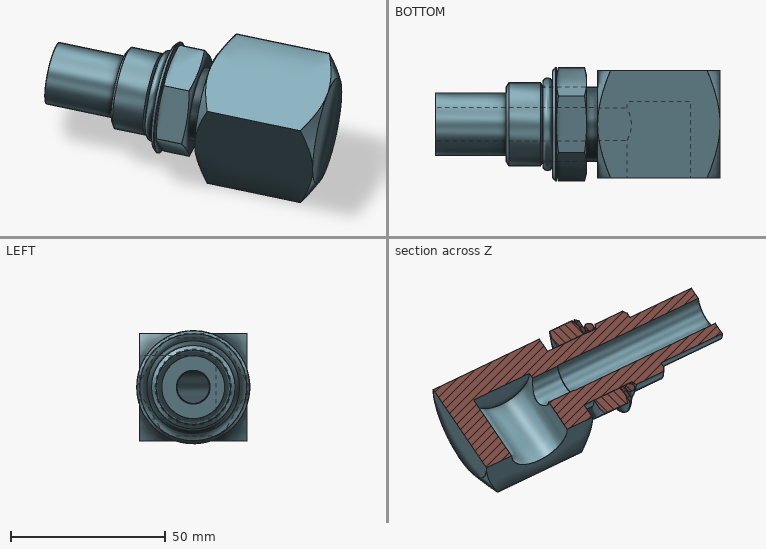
import cadquery as cq
import math

block_start = 52.5
block_end = 92.1
block_width = 34.9
block_cone_angle = 30.0

tube_bore_diameter = 11.0
block_bore_diameter = 10.5
port_diameter = 20.6
port_floor_y = -7.4
port_center_x = (block_start + block_end) / 2

tube_diameter = 20.35
neck_diameter = 24.0
collar_start = 22.8
collar_end = 34.6
collar_diameter = 27.0
lead_in_diameter = neck_diameter
lead_in_length = 0.9
collar_back_diameter = 24.7
collar_back_length = 0.6

washer_start = 37.8
washer_end = 39.1
washer_diameter = 36.65
washer_chamfer_length = 1.0
washer_chamfer_depth = 1.0
nut_end = 48.9
nut_corner_diameter = washer_diameter
nut_flats = nut_corner_diameter * math.cos(math.pi / 6)
nut_cone_angle = 15.0

ring_outer_diameter = 30.0
ring_thickness = 3.1
ring_center_radius = (ring_outer_diameter - ring_thickness) / 2
ring_center_x = washer_start - ring_thickness / 2
groove_diameter = ring_outer_diameter - 2 * ring_thickness


def turned_about_x(outline):
    """Solid of revolution about X from a closed outline of (x, radius) points."""
    return cq.Workplane("XY").polyline(outline).close().revolve(360, (0, 0, 0), (1, 0, 0))


def cylinder_along_x(diameter, start, end):
    return cq.Workplane("YZ", origin=(start, 0, 0)).circle(diameter / 2).extrude(end - start)


def cone_prism_corners(prism, start, end, flats, corner_diameter, cone_angle):
    """Turn both ends of a prism to cones that start at a circle as wide as its flats."""
    cone_length = (corner_diameter - flats) / 2 * math.tan(math.radians(cone_angle))
    envelope = turned_about_x([
        (start, 0),
        (start, flats / 2),
        (start + cone_length, corner_diameter / 2),
        (end - cone_length, corner_diameter / 2),
        (end, flats / 2),
        (end, 0),
    ])
    return prism.intersect(envelope)


def make_stud():
    """Tube, collar, groove and neck, up to the face of the block."""
    return turned_about_x([
        (0, 0),
        (0, tube_diameter / 2),
        (collar_start, tube_diameter / 2),
        (collar_start, lead_in_diameter / 2),
        (collar_start + lead_in_length, collar_diameter / 2),
        (collar_end - collar_back_length, collar_diameter / 2),
        (collar_end, collar_back_diameter / 2),
        (collar_end, groove_diameter / 2),
        (washer_start, groove_diameter / 2),
        (washer_start, neck_diameter / 2),
        (block_start, neck_diameter / 2),
        (block_start, 0),
    ])


def make_block():
    bar = (
        cq.Workplane("YZ", origin=(block_start, 0, 0))
        .rect(block_width, block_width)
        .extrude(block_end - block_start)
    )
    corner_diameter = block_width * math.sqrt(2)
    return cone_prism_corners(bar, block_start, block_end, block_width, corner_diameter, block_cone_angle)


def make_port():
    """Flat-bottomed blind hole from the +Y side, crossing the axis of the stud."""
    depth = block_width / 2 - port_floor_y
    return (
        cq.Workplane("XZ", origin=(port_center_x, port_floor_y, 0))
        .circle(port_diameter / 2)
        .extrude(-depth)
    )


def make_elbow():
    tube_bore = cylinder_along_x(tube_bore_diameter, 0, block_start)
    block_bore = cylinder_along_x(block_bore_diameter, block_start, port_center_x)
    return make_stud().union(make_block()).cut(tube_bore).cut(block_bore).cut(make_port())


def make_sealing_ring():
    return (
        cq.Workplane("XY")
        .center(ring_center_x, ring_center_radius)
        .circle(ring_thickness / 2)
        .revolve(360, (0, -ring_center_radius, 0), (1, -ring_center_radius, 0))
    )


def make_washer():
    """Round washer with a chamfered rim on the side of the sealing ring."""
    return turned_about_x([
        (washer_start, neck_diameter / 2),
        (washer_start, washer_diameter / 2 - washer_chamfer_depth),
        (washer_start + washer_chamfer_length, washer_diameter / 2),
        (washer_end, washer_diameter / 2),
        (washer_end, neck_diameter / 2),
    ])


def make_locknut():
    """Hexagon with corners toward +Y and -Y, coned at both ends."""
    prism = (
        cq.Workplane("YZ", origin=(washer_end, 0, 0))
        .polygon(6, nut_corner_diameter)
        .extrude(nut_end - washer_end)
    )
    nut = cone_prism_corners(prism, washer_end, nut_end, nut_flats, nut_corner_diameter, nut_cone_angle)
    return nut.cut(cylinder_along_x(neck_diameter, washer_end, nut_end))


elbow = make_elbow()
sealing_ring = make_sealing_ring()
washer = make_washer()
locknut = make_locknut()

result = cq.Compound.makeCompound([elbow.val(), sealing_ring.val(), washer.val(), locknut.val()])